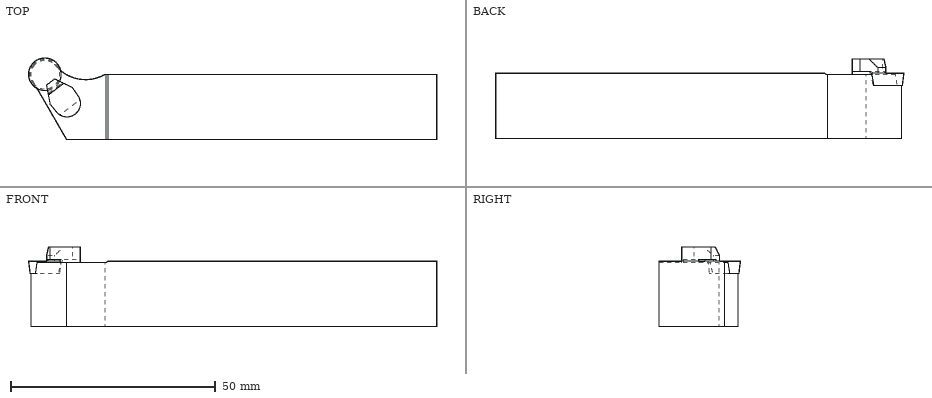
import cadquery as cq
import math

overall_length = 100.0
shank_size = 16.0
head_top = 15.7
step_start = 19.0
step_end = 19.4

insert_radius = 4.0
insert_thickness = 3.0
insert_relief = 7.0
insert_x = insert_radius
insert_y = shank_size
insert_bottom = shank_size - insert_thickness
insert_bottom_radius = insert_radius - insert_thickness * math.tan(math.radians(insert_relief))

nose_radius = 3.4
end_angle = math.radians(60)
neck_radius = 9.5
neck_low_y = 14.7

clamp_tip_x = 5.4
clamp_tip_y = 14.1
clamp_angle = -52.5
clamp_top = 19.5
tip_width = 2.5
tip_half_width = tip_width / 2
tip_top = 17.4
tip_slope_length = 2.2
shoulder_position = 4.3
shoulder_half_width = 3.4
tail_position = 6.6
tail_radius = 3.3
gap_start = 1.9
gap_end = 7.8
gap_top = 16.4


def make_insert():
    return (
        cq.Workplane("XY", origin=(insert_x, insert_y, insert_bottom))
        .circle(insert_bottom_radius)
        .workplane(offset=insert_thickness)
        .circle(insert_radius)
        .loft(ruled=True)
    )


def nose_point(angle):
    return (insert_x + nose_radius * math.cos(angle), insert_y + nose_radius * math.sin(angle))


def make_bar():
    end_tangent_angle = math.pi + math.pi / 2 - end_angle
    end_tangent = nose_point(end_tangent_angle)
    corner_x = end_tangent[0] + end_tangent[1] / math.tan(end_angle)

    neck_y = neck_low_y + neck_radius
    neck_tangent_angle = math.asin((neck_y - insert_y) / (neck_radius + nose_radius))
    neck_x = insert_x + (neck_radius + nose_radius) * math.cos(neck_tangent_angle)
    neck_end_x = neck_x + math.sqrt(neck_radius**2 - (neck_y - shank_size) ** 2)

    bar = (
        cq.Workplane("XY")
        .moveTo(corner_x, 0)
        .lineTo(overall_length, 0)
        .lineTo(overall_length, shank_size)
        .lineTo(neck_end_x, shank_size)
        .threePointArc((neck_x, neck_low_y), nose_point(neck_tangent_angle))
        .threePointArc(nose_point((neck_tangent_angle + end_tangent_angle) / 2), end_tangent)
        .close()
        .extrude(shank_size)
    )
    lowered_head = (
        cq.Workplane("XZ")
        .polyline([(0, head_top), (step_start, head_top), (step_end, shank_size), (0, shank_size)])
        .close()
        .extrude(-(insert_y + insert_radius))
    )
    return bar.cut(lowered_head)


def make_clamp():
    shoulder_distance = math.hypot(tail_position - shoulder_position, shoulder_half_width)
    tangent_angle = (
        math.atan2(shoulder_half_width, shoulder_position - tail_position)
        - math.acos(tail_radius / shoulder_distance)
    )
    tangent_x = tail_position + tail_radius * math.cos(tangent_angle)
    tangent_y = tail_radius * math.sin(tangent_angle)

    body = (
        cq.Workplane("XY", origin=(0, 0, head_top))
        .moveTo(0, -tip_half_width)
        .lineTo(shoulder_position, -shoulder_half_width)
        .lineTo(tangent_x, -tangent_y)
        .threePointArc((tail_position + tail_radius, 0), (tangent_x, tangent_y))
        .lineTo(shoulder_position, shoulder_half_width)
        .lineTo(0, tip_half_width)
        .close()
        .extrude(clamp_top - head_top)
    )
    profile = (
        cq.Workplane("XZ")
        .polyline([
            (0, shank_size),
            (gap_start, shank_size),
            (gap_start, gap_top),
            (gap_end, gap_top),
            (gap_end, head_top),
            (tail_position + tail_radius, head_top),
            (tail_position + tail_radius, clamp_top),
            (tip_slope_length, clamp_top),
            (0, tip_top),
        ])
        .close()
        .extrude(shoulder_half_width, both=True)
    )
    return (
        body.intersect(profile)
        .rotate((0, 0, 0), (0, 0, 1), clamp_angle)
        .translate((clamp_tip_x, clamp_tip_y, 0))
    )


insert = make_insert()
holder = make_bar().cut(insert).union(make_clamp())

result = cq.Compound.makeCompound([holder.solids().val(), insert.val()])